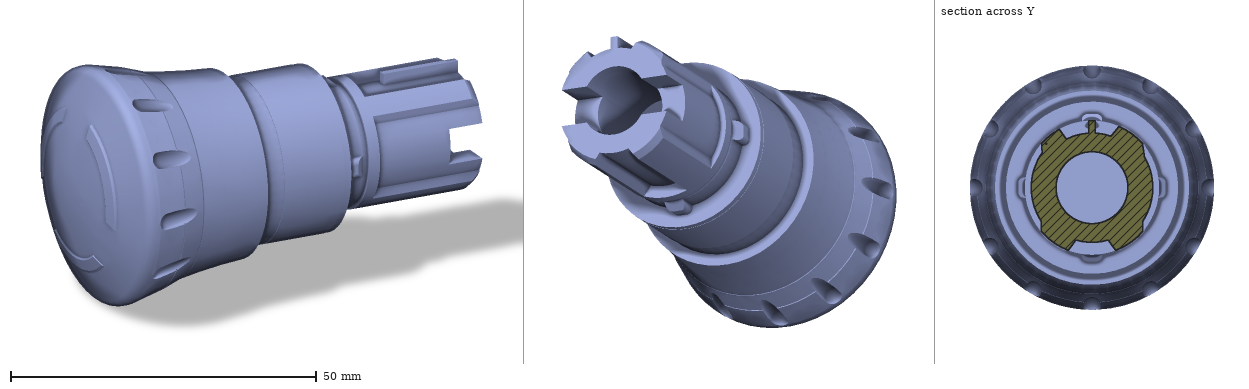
import cadquery as cq
import math


total_length = 71.6

tail_radius = 18.0 / 2
cheek_radius = 20.0 / 2
block_radius = 11.0
tail_end_at = 19.5
bore_radius = 11.7 / 2
slot_width = 6.2
slot_depth = 6.1
rib_width = 1.2
rib_length = 13.7
rib_top = 11.0
block_chamfer_length = 1.3
block_chamfer_radius = 10.2
block_angles = [
    (35.0, 40.9, 60.9, 62.3),
    (149.8, 139.1, 113.7, 110.1),
    (213.4, 220.9, 249.4, 253.0),
    (326.6, 319.1, 290.6, 287.0),
]

flange_radius = 22.0 / 2
flange_end_at = 21.5
cone_start_radius = 10.4
neck_radius = 10.8
neck_at = 22.5
lug_top_radius = 12.05
lug_width = 3.3
lug_round = 0.9
lug_ramp_length = 1.45
lug_ramp_foot_radius = 10.7
lug_count = 4

collar_at = 26.3
collar_rim_end_at = 27.5
collar_body_end_at = 38.5
collar_rim_radius = 14.05
collar_front_radius = 28.0 / 2
collar_body_radius = 28.2 / 2

knob_at = 42.5
skirt_start_radius = 15.9
skirt_mid_radius = 16.45
skirt_end_radius = 17.4
skirt_end_at = 55.0
shoulder_end_radius = 18.8
shoulder_end_at = 59.1
knob_radius = 20.0
grip_end_at = 64.2
rim_end_at = 65.0
dome_edge_radius = 18.9
dome_edge_at = 66.7
seam_width = 0.2
seam_depth = 0.2

flute_count = 12
flute_radius = 1.45
flute_axis_radius = 19.35
flute_end_at = 63.0

pad_outer_radius = 13.75
pad_inner_radius = 11.2
pad_height = 0.25
pad_side_inset = 0.35
pad_gap = 8.9
pad_count = 3

dome_sag = total_length - dome_edge_at
dome_radius = (dome_edge_radius**2 + dome_sag**2) / (2 * dome_sag)
dome_center_at = total_length - dome_radius


def dome_at(radius, height=0.0):
    """Distance from the tail of the dome, raised by height, at a given radius."""
    return dome_center_at + math.sqrt((dome_radius + height) ** 2 - radius**2)


def polar(radius, angle):
    """Point (X, Z) at a radius and an angle measured from +X towards +Z."""
    return (radius * math.cos(math.radians(angle)), radius * math.sin(math.radians(angle)))


def revolve(profile):
    return profile.close().revolve(360, (0, 0, 0), (0, 1, 0))


def around_axis(solid, angle):
    return solid.rotate((0, 0, 0), (0, 1, 0), angle)


def make_shank():
    """Tail, flange, neck and collar as one turned body."""
    return revolve(
        cq.Workplane("XY")
        .moveTo(0, 0)
        .lineTo(tail_radius, 0)
        .lineTo(tail_radius, -tail_end_at)
        .lineTo(flange_radius, -tail_end_at)
        .lineTo(flange_radius, -flange_end_at)
        .lineTo(cone_start_radius, -flange_end_at)
        .lineTo(neck_radius, -neck_at)
        .lineTo(neck_radius, -collar_at)
        .lineTo(collar_rim_radius, -collar_at)
        .lineTo(collar_rim_radius, -collar_rim_end_at)
        .lineTo(collar_body_radius, -collar_rim_end_at)
        .lineTo(collar_body_radius, -collar_body_end_at)
        .lineTo(collar_front_radius, -collar_body_end_at)
        .lineTo(collar_front_radius, -knob_at)
        .lineTo(0, -knob_at)
    )


def make_knob():
    """Flared skirt, shoulder, grip band, rounded rim and spherical dome."""
    skirt_mid_at = (knob_at + skirt_end_at) / 2
    dome_mid_radius = dome_edge_radius / 2
    return revolve(
        cq.Workplane("XY")
        .moveTo(0, -knob_at)
        .lineTo(skirt_start_radius, -knob_at)
        .threePointArc((skirt_mid_radius, -skirt_mid_at), (skirt_end_radius, -skirt_end_at))
        .lineTo(shoulder_end_radius, -shoulder_end_at)
        .lineTo(knob_radius, -grip_end_at)
        .lineTo(knob_radius, -rim_end_at)
        .tangentArcPoint((dome_edge_radius, -dome_edge_at), relative=False)
        .threePointArc((dome_mid_radius, -dome_at(dome_mid_radius)), (0, -total_length))
    )


def make_seam(radius, at):
    """Ring that cuts a narrow groove into the knob where two of its bands meet."""
    inner_radius = radius - seam_depth
    outer_radius = radius + seam_depth
    plane = cq.Workplane("XZ", origin=(0, seam_width / 2 - at, 0))
    return plane.circle(outer_radius).circle(inner_radius).extrude(seam_width)


def make_cheek(start, end):
    """Raised side of the tail between the feet of two blocks."""
    return (
        cq.Workplane("XZ")
        .moveTo(0, 0)
        .lineTo(*polar(cheek_radius, start))
        .threePointArc(polar(cheek_radius, (start + end) / 2), polar(cheek_radius, end))
        .close()
        .extrude(tail_end_at)
    )


def make_block(cheek_foot, cheek_crest, far_crest, far_foot):
    """One raised tail block with splayed sides and a chamfer at the tail face."""
    block = (
        cq.Workplane("XZ")
        .moveTo(0, 0)
        .lineTo(*polar(cheek_radius, cheek_foot))
        .lineTo(*polar(block_radius, cheek_crest))
        .lineTo(*polar(2 * block_radius, cheek_crest))
        .lineTo(*polar(2 * block_radius, far_crest))
        .lineTo(*polar(block_radius, far_crest))
        .lineTo(*polar(tail_radius, far_foot))
        .close()
        .extrude(tail_end_at)
    )
    envelope = revolve(
        cq.Workplane("XY")
        .moveTo(0, 0)
        .lineTo(block_chamfer_radius, 0)
        .lineTo(block_radius, -block_chamfer_length)
        .lineTo(block_radius, -tail_end_at)
        .lineTo(0, -tail_end_at)
    )
    return block.intersect(envelope)


def make_rib():
    """Key rib along the top of the tail."""
    height = rib_top - bore_radius
    rib = cq.Workplane("XY").box(rib_width, rib_length, height, centered=(True, False, False))
    return rib.translate((0, -rib_length, bore_radius))


def make_lug():
    """Bayonet lug on top of the neck, rounded along its sides and ramped at the back."""
    length = collar_at - neck_at
    lug = (
        cq.Workplane("XY")
        .box(lug_width, length, lug_top_radius, centered=(True, False, False))
        .translate((0, -collar_at, 0))
        .edges("|Y and >Z")
        .fillet(lug_round)
    )
    ramp = (
        cq.Workplane("YZ")
        .moveTo(-neck_at, lug_ramp_foot_radius)
        .lineTo(-neck_at, lug_top_radius)
        .lineTo(-neck_at - lug_ramp_length, lug_top_radius)
        .close()
        .extrude(lug_width, both=True)
    )
    return lug.cut(ramp)


def make_flute():
    """Round-ended cutter for one finger flute, parallel to the axis."""
    length = flute_end_at - skirt_end_at
    cutter = cq.Workplane("XZ", origin=(0, -skirt_end_at, 0)).circle(flute_radius).extrude(length)
    ball = cq.Workplane("XY").sphere(flute_radius).translate((0, -flute_end_at, 0))
    return cutter.union(ball).translate((0, 0, flute_axis_radius))


def make_pads():
    """Arc pads that follow the dome, parted by straight radial gaps."""
    pad_top_outer = pad_outer_radius - pad_side_inset
    pad_top_inner = pad_inner_radius + pad_side_inset
    pad_mid = (pad_outer_radius + pad_inner_radius) / 2
    pads = revolve(
        cq.Workplane("XY")
        .moveTo(pad_inner_radius, -dome_edge_at)
        .lineTo(pad_inner_radius, -dome_at(pad_inner_radius))
        .lineTo(pad_top_inner, -dome_at(pad_top_inner, pad_height))
        .threePointArc(
            (pad_mid, -dome_at(pad_mid, pad_height)),
            (pad_top_outer, -dome_at(pad_top_outer, pad_height)),
        )
        .lineTo(pad_outer_radius, -dome_at(pad_outer_radius))
        .lineTo(pad_outer_radius, -dome_edge_at)
    )
    gap = cq.Workplane("XY").box(pad_gap, total_length, knob_radius, centered=(True, False, False))
    gap = gap.translate((0, -total_length, 0))
    for index in range(pad_count):
        pads = pads.cut(around_axis(gap, index * 360 / pad_count))
    return pads


def make_tail_slot():
    """Slot across the tail along X."""
    slot = cq.Workplane("XY").box(2 * block_radius, slot_depth, slot_width, centered=(True, False, True))
    return slot.translate((0, -slot_depth, 0))


button = make_shank().union(make_knob())

right_top, left_top, left_bottom, right_bottom = [angles[0] for angles in block_angles]
button = button.union(make_cheek(right_bottom - 360, right_top))
button = button.union(make_cheek(left_top, left_bottom))
for angles in block_angles:
    button = button.union(make_block(*angles))
button = button.union(make_rib())

lug = make_lug()
for index in range(lug_count):
    button = button.union(around_axis(lug, index * 360 / lug_count))

button = button.union(make_pads())

button = button.cut(make_seam(skirt_end_radius, skirt_end_at))
button = button.cut(make_seam(shoulder_end_radius, shoulder_end_at))

flute = make_flute()
for index in range(flute_count):
    button = button.cut(around_axis(flute, index * 360 / flute_count))

button = button.cut(cq.Workplane("XZ").circle(bore_radius).extrude(tail_end_at))
result = button.cut(make_tail_slot())